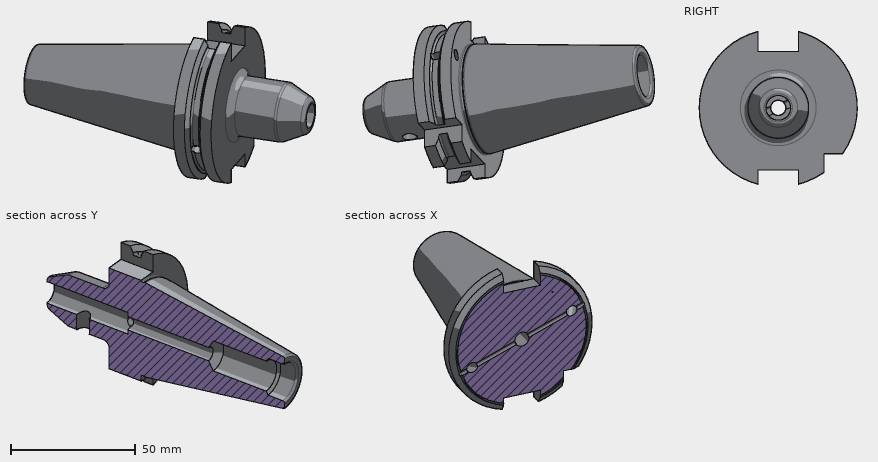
import cadquery as cq
import math


length = 118.4
taper_end_dia = 44.6
taper_end_x = 69.1
taper_ratio = 7 / 24
shank_end_fillet = 1.0
rim_end_x = 69.7
neck_x = 70.1
neck_dia = 44.3
neck_root_fillet = 0.4

flange_dia = 63.6
flange_x = 71.4
flange_width = 16.1
flange_end_x = flange_x + flange_width
groove_x = flange_x + flange_width / 2
groove_mouth_width = 6.7
groove_floor_width = 3.9
groove_floor_dia = 56.2
groove_flank_angle = 30.0
groove_root_fillet = 0.7
slot_width = 16.1
upper_slot_z = 22.7
lower_slot_z = -25.0
notch_offset = 18.5

nose_dia = 24.5
nose_root_fillet = 3.0
nose_cone_x = 107.7
nose_cone_angle = 25.5
nose_shoulder_fillet = 2.4
nose_tip_fillet = 2.4

mouth_round = 1.0
counterbore_dia = 17.0
counterbore_depth = 8.3
thread_bore_dia = 14.0
thread_bore_depth = 35.5
drill_point_angle = 118.0
through_bore_dia = 6.0
tool_bore_dia = 10.0
tool_bore_depth = 40.3
screw_hole_dia = 6.0
screw_hole_x = 100.4

coolant_dia = 4.1
coolant_angle = 20.0
coolant_tilt = 30.0
coolant_entry_radius = 27.0


def revolve_x(outline):
    """Close a half profile in the XZ plane and turn it about the X axis."""
    return outline.close().revolve(360, (0, 0), (1, 0))


def make_shank():
    """7:24 taper with a cylindrical rim and a short neck blending into the flange."""
    end_radius = taper_end_dia / 2 - taper_end_x * taper_ratio / 2
    outline = (
        cq.Workplane("XZ")
        .lineTo(0, end_radius)
        .lineTo(taper_end_x, taper_end_dia / 2)
        .lineTo(rim_end_x, taper_end_dia / 2)
        .lineTo(neck_x, neck_dia / 2)
        .lineTo(flange_x - neck_root_fillet, neck_dia / 2)
        .radiusArc((flange_x, neck_dia / 2 + neck_root_fillet), -neck_root_fillet)
        .lineTo(flange_x, 0)
    )
    return revolve_x(outline).faces("<X").edges().fillet(shank_end_fillet)


def make_groove():
    """Ring cutter: sloped flanks above a straight-sided floor with rounded corners."""
    flank_run = (groove_mouth_width - groove_floor_width) / 2
    flank_drop = flank_run / math.tan(math.radians(groove_flank_angle))
    flank_end_radius = flange_dia / 2 - flank_drop
    floor_radius = groove_floor_dia / 2
    mouth_half = groove_mouth_width / 2
    floor_half = groove_floor_width / 2
    outline = (
        cq.Workplane("XZ")
        .moveTo(groove_x - mouth_half, flange_dia / 2)
        .lineTo(groove_x - floor_half, flank_end_radius)
        .lineTo(groove_x - floor_half, floor_radius + groove_root_fillet)
        .radiusArc((groove_x - floor_half + groove_root_fillet, floor_radius), -groove_root_fillet)
        .lineTo(groove_x + floor_half - groove_root_fillet, floor_radius)
        .radiusArc((groove_x + floor_half, floor_radius + groove_root_fillet), -groove_root_fillet)
        .lineTo(groove_x + floor_half, flank_end_radius)
        .lineTo(groove_x + mouth_half, flange_dia / 2)
        .lineTo(groove_x + mouth_half, flange_dia)
        .lineTo(groove_x - mouth_half, flange_dia)
    )
    return revolve_x(outline)


def flange_cutter(y_min, z_min, y_size, z_size):
    """Box spanning the flange width, placed by its lowest Y and Z corner."""
    return (
        cq.Workplane("XY")
        .box(flange_width, y_size, z_size, centered=False)
        .translate((flange_x, y_min, z_min))
    )


def make_flange():
    """Grooved disc with two drive slots of unequal depth and an orientation notch."""
    flange = cq.Workplane("YZ", origin=(flange_x, 0, 0)).circle(flange_dia / 2).extrude(flange_width)
    flange = flange.cut(make_groove())
    flange = flange.cut(flange_cutter(-slot_width / 2, upper_slot_z, slot_width, flange_dia))
    flange = flange.cut(flange_cutter(-slot_width / 2, lower_slot_z - flange_dia, slot_width, flange_dia))
    return flange.cut(flange_cutter(notch_offset, -notch_offset - flange_dia, flange_dia, flange_dia))


def make_nose():
    """Cylinder and cone with a blended shoulder and a rounded tip."""
    radius = nose_dia / 2
    tip_radius = radius - (length - nose_cone_x) * math.tan(math.radians(nose_cone_angle))
    outline = (
        cq.Workplane("XZ")
        .moveTo(groove_x, 0)
        .lineTo(groove_x, radius)
        .lineTo(nose_cone_x, radius)
        .lineTo(length, tip_radius)
        .lineTo(length, 0)
    )
    nose = revolve_x(outline)
    nose = nose.faces(">X").edges().fillet(nose_tip_fillet)
    shoulder = cq.selectors.NearestToPointSelector((nose_cone_x, 0, 0))
    return nose.edges("%CIRCLE").edges(shoulder).fillet(nose_shoulder_fillet)


def make_nose_root():
    """Concave quarter-round blend from the flange face to the nose."""
    foot_x = flange_end_x + nose_root_fillet
    outline = (
        cq.Workplane("XZ")
        .moveTo(flange_end_x, 0)
        .lineTo(flange_end_x, nose_dia / 2 + nose_root_fillet)
        .radiusArc((foot_x, nose_dia / 2), -nose_root_fillet)
        .lineTo(foot_x, 0)
    )
    return revolve_x(outline)


def make_bores():
    """Counterbored thread hole, through bore and tool bore along the axis."""
    thread_radius = thread_bore_dia / 2
    through_radius = through_bore_dia / 2
    point_slope = math.tan(math.radians(drill_point_angle / 2))
    point_length = (thread_radius - through_radius) / point_slope
    seat_length = (counterbore_dia / 2 - thread_radius) / point_slope
    tool_bore_x = length - tool_bore_depth
    outline = (
        cq.Workplane("XZ")
        .lineTo(0, counterbore_dia / 2 + mouth_round)
        .radiusArc((mouth_round, counterbore_dia / 2), -mouth_round)
        .lineTo(counterbore_depth, counterbore_dia / 2)
        .lineTo(counterbore_depth + seat_length, thread_radius)
        .lineTo(thread_bore_depth, thread_radius)
        .lineTo(thread_bore_depth + point_length, through_radius)
        .lineTo(tool_bore_x, through_radius)
        .lineTo(tool_bore_x, tool_bore_dia / 2)
        .lineTo(length, tool_bore_dia / 2)
        .lineTo(length, 0)
    )
    return revolve_x(outline)


def make_screw_hole():
    """Radial clamping screw hole on the underside of the nose."""
    return cq.Workplane("XY", origin=(screw_hole_x, 0, 0)).circle(screw_hole_dia / 2).extrude(-nose_dia)


def make_coolant_holes():
    """Two opposite passages: an inclined hole in the flange face meets a radial hole."""
    tilt = math.radians(coolant_tilt)
    reach = (groove_x - flange_x) / math.cos(tilt)
    direction = cq.Vector(math.cos(tilt), -math.sin(tilt), 0)
    entry = cq.Vector(flange_x, coolant_entry_radius, 0)
    inclined = cq.Solid.makeCylinder(coolant_dia / 2, 2 * reach, entry - direction * reach, direction)
    radial = cq.Solid.makeCylinder(
        coolant_dia / 2, flange_dia / 2, cq.Vector(groove_x, 0, 0), cq.Vector(0, 1, 0)
    )
    passage = cq.Workplane(inclined).union(cq.Workplane(radial))
    first = passage.rotate((0, 0, 0), (1, 0, 0), coolant_angle)
    second = first.rotate((0, 0, 0), (1, 0, 0), 180)
    return first.union(second)


result = make_shank().union(make_flange()).union(make_nose()).union(make_nose_root())
result = result.cut(make_bores()).cut(make_screw_hole()).cut(make_coolant_holes())